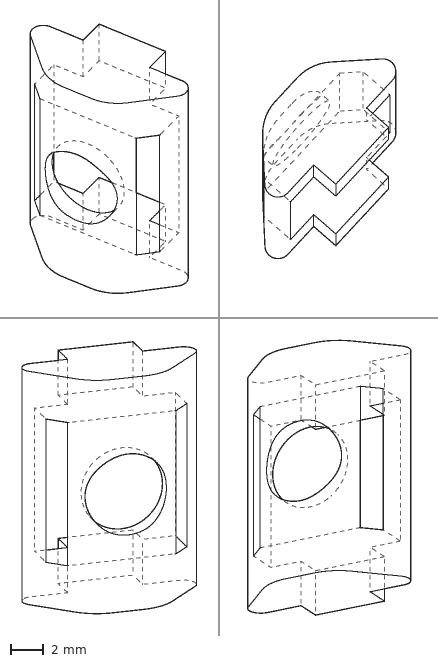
import cadquery as cq
import math

length = 15.0
body_width = 11.1
flange_depth = 4.4
tip_radius = 0.8
nose_radius = 3.0
flank_angle = math.radians(44.5)

key_width = 4.8
key_height = 1.8

pocket_width = 9.0
pocket_length = 9.2
front_wall = 1.23

hole_diameter = 5.2

total_depth = flange_depth + key_height

half_width = body_width / 2
tip_center_x = half_width - tip_radius
tip_center_y = flange_depth - tip_radius
flank_top_x = tip_center_x + tip_radius * math.sin(flank_angle)
flank_top_y = tip_center_y - tip_radius * math.cos(flank_angle)

front_corner_x = flank_top_x - flank_top_y / math.tan(flank_angle)
front_flat_x = front_corner_x - nose_radius * math.tan(flank_angle / 2)


def nose_point(angle):
    """Point on the right nose arc, at an angle measured from the front face tangent."""
    x = front_flat_x + nose_radius * math.sin(angle)
    y = nose_radius * (1 - math.cos(angle))
    return x, y


def make_body():
    """Extrude the right half of the cross-section and mirror it across X = 0."""
    half = (
        cq.Workplane("XY")
        .workplane(offset=-length / 2)
        .moveTo(0, 0)
        .lineTo(front_flat_x, 0)
        .threePointArc(nose_point(flank_angle / 2), nose_point(flank_angle))
        .lineTo(flank_top_x, flank_top_y)
        .threePointArc((half_width, tip_center_y), (tip_center_x, flange_depth))
        .lineTo(key_width / 2, flange_depth)
        .lineTo(key_width / 2, total_depth)
        .lineTo(0, total_depth)
        .close()
        .extrude(length)
    )
    return half.union(half.mirror("YZ")).clean()


def make_pocket():
    """Box running from the front wall out through the back of the key."""
    pocket_depth = total_depth - front_wall
    pocket_size = (pocket_width, pocket_depth, pocket_length)
    pocket = cq.Workplane("XY").box(*pocket_size, centered=(True, False, True))
    return pocket.translate((0, front_wall, 0))


def make_hole():
    """Cylinder along Y through the front wall."""
    return cq.Workplane("XZ").circle(hole_diameter / 2).extrude(-total_depth)


result = make_body().cut(make_pocket()).cut(make_hole())